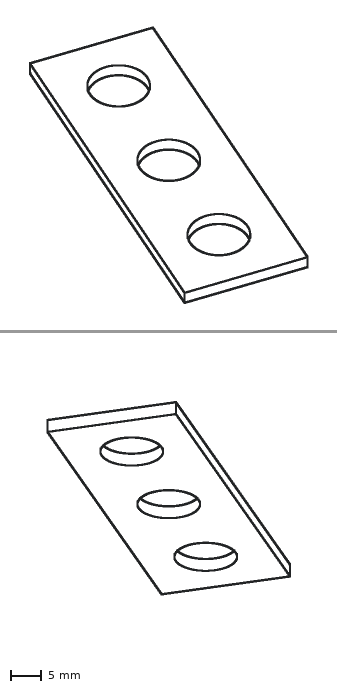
import cadquery as cq

length = 63.5
width = 22.35
thickness = 2.2

hole_diameter = 10.4
hole_pitch = 20.6
hole_count = 3

plate = cq.Workplane("XY").box(length, width, thickness)

result = (
    plate.faces(">Z")
    .workplane()
    .rarray(hole_pitch, 0.65, hole_count, 1)
    .hole(hole_diameter)
)